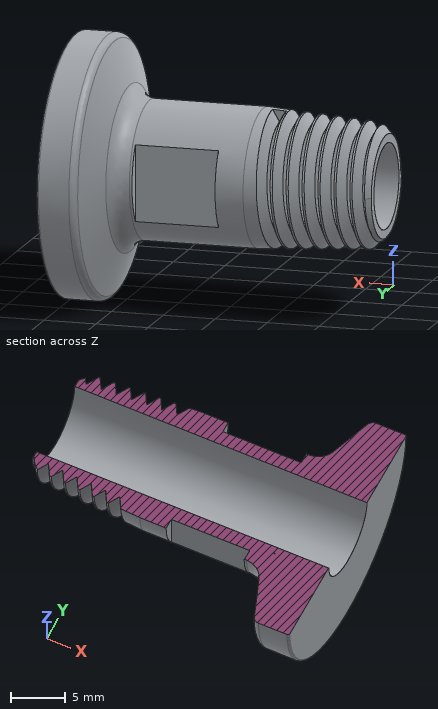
import cadquery as cq
import math

LENGTH = 30.0
BORE_RADIUS = 4.05
BODY_RADIUS = 6.6

FLANGE_RADIUS = 12.5
RIM_START = 26.35
CONE_ANGLE = 20.0
NECK_FILLET = 2.0
RIM_FILLET = 0.75
FACE_EDGE_FILLET = 0.2

TAPER_LENGTH = 11.85
TAPER = 1 / 16
END_FACE_RADIUS = 4.9
PITCH = 1.51
GROOVE_WIDTH = 1.31
GROOVE_HALF_ANGLE = 30.0
GROOVE_END = 10.28
GROOVE_TURNS = 7.25

FLATS_ACROSS = 11.0
FLAT_START = 14.55
FLAT_LENGTH = 8.0

FULL_TURN = 360.0
TAPER_ANGLE = math.degrees(math.atan(TAPER))


def crest_radius(x):
    """Radius of the tapered crest cone at a position along the axis."""
    return BODY_RADIUS - (TAPER_LENGTH - x) * TAPER


def make_body():
    """Turned outline, with rounded neck, rim and face edges, bored through."""
    cone_rise = FLANGE_RADIUS - BODY_RADIUS
    neck = RIM_START - cone_rise * math.tan(math.radians(CONE_ANGLE))
    chamfer = (crest_radius(0) - END_FACE_RADIUS) / (1 - TAPER)
    outline = [
        (0, 0),
        (0, END_FACE_RADIUS),
        (chamfer, crest_radius(chamfer)),
        (TAPER_LENGTH, BODY_RADIUS),
        (neck, BODY_RADIUS),
        (RIM_START, FLANGE_RADIUS),
        (LENGTH, FLANGE_RADIUS),
        (LENGTH, 0),
    ]
    body = cq.Workplane("XY").polyline(outline).close().revolve(FULL_TURN, (0, 0, 0), (1, 0, 0))

    margin = 0.01
    rounded_edges = [
        (neck, NECK_FILLET),
        (RIM_START, RIM_FILLET),
        (LENGTH, FACE_EDGE_FILLET),
    ]
    for x, fillet in rounded_edges:
        slab = cq.selectors.BoxSelector(
            (x - margin, -LENGTH, -LENGTH), (x + margin, LENGTH, LENGTH), boundingbox=True
        )
        body = body.edges(slab).fillet(fillet)

    bore = cq.Workplane("YZ").circle(BORE_RADIUS).extrude(LENGTH)
    return body.cut(bore)


def make_flat_cutters():
    """Blocks beyond the two wrench flats, on the -Y and +Y sides."""
    depth = FLANGE_RADIUS
    middle = FLAT_START + FLAT_LENGTH / 2
    cutters = cq.Workplane("XY")
    for side in (-1, 1):
        block = cq.Workplane("XY").box(FLAT_LENGTH, depth, 2 * depth)
        offset = side * (FLATS_ACROSS + depth) / 2
        cutters = cutters.add(block.translate((middle, offset, 0)))
    return cutters.combine()


def make_thread_groove():
    """Right-hand V groove wound on the crest cone, ending on the +Z side."""
    run = PITCH * GROOVE_TURNS
    start = GROOVE_END - run
    slant = 1 / math.cos(math.radians(TAPER_ANGLE))
    crest = crest_radius(start)
    helix = cq.Wire.makeHelix(PITCH * slant, run * slant, crest, angle=TAPER_ANGLE)

    half_width = GROOVE_WIDTH / 2
    depth = half_width / math.tan(math.radians(GROOVE_HALF_ANGLE))
    outside = 0.1
    top_half_width = half_width * (depth + outside) / depth
    profile = (
        cq.Workplane("XZ")
        .moveTo(crest - depth, 0)
        .lineTo(crest + outside, top_half_width)
        .lineTo(crest + outside, -top_half_width)
        .close()
    )
    groove = profile.sweep(cq.Workplane(helix), isFrenet=True)
    groove = groove.rotate((0, 0, 0), (0, 1, 0), 90)
    end_angle = FULL_TURN * (0.5 + GROOVE_TURNS)
    groove = groove.rotate((0, 0, 0), (1, 0, 0), -end_angle)
    return groove.translate((start, 0, 0))


result = make_body().cut(make_flat_cutters()).cut(make_thread_groove())